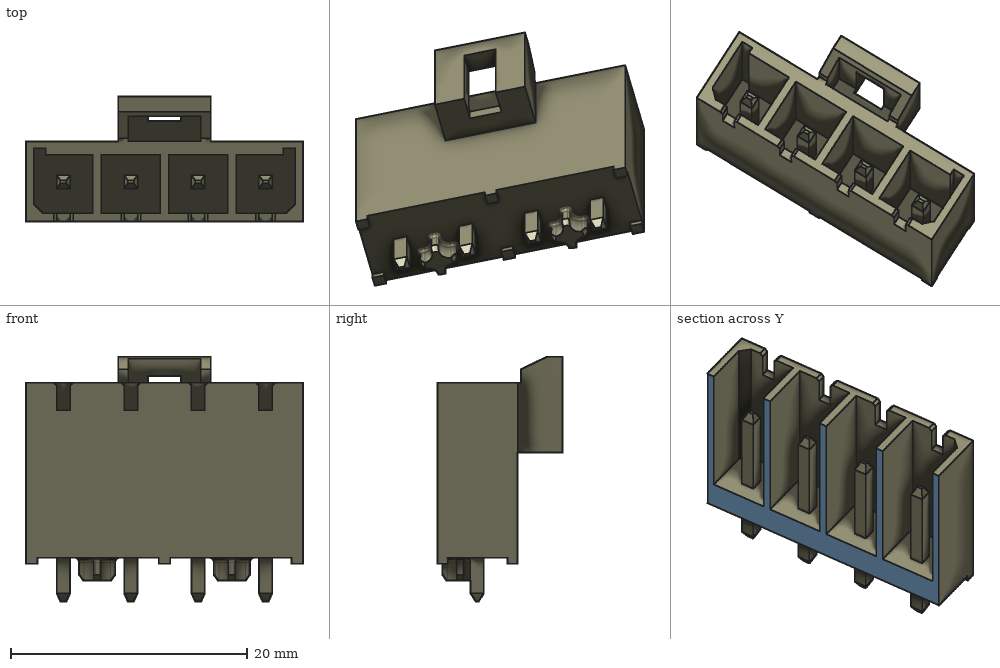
import cadquery as cq
import math

pin_count = 4
pitch = 5.7
housing_length = 23.45
housing_depth = 6.8
housing_top = 15.33
pin_row_y = 3.37
pin_positions = [(i - (pin_count - 1) / 2) * pitch for i in range(pin_count)]

foot_height = 0.5
foot_length = 1.0
foot_depth = 0.87

cavity_width = 5.0
cavity_front_y = 0.73
cavity_back_y = 5.65
cavity_floor_z = 3.0
corner_chamfer = 0.75
key_length = 1.0
key_back_y = 6.2

slot_width = 1.15
slot_depth = 2.34
slot_chamfer = 0.25

pin_size = 1.14
pin_tip_length = 0.7
pin_tip_width_x = 0.5
pin_tip_width_y = 0.24
pin_bottom_z = -3.2
pin_top_z = 11.0

latch_width = 7.85
latch_back_y = 10.6
latch_top = housing_top + 2.2
latch_height = 8.12
latch_ridge_depth = 1.3
latch_arm_gap = 0.27
latch_arm_top = housing_top + 1.13
latch_pocket_width = 6.15
latch_wall = 1.68
latch_floor = 1.0
window_width = 2.75
window_reach = 0.39
window_top = housing_top + 0.55

peg_spacing = 2 * pitch
peg_y = 1.95
peg_radius = 1.54
peg_bottom_z = -1.42
peg_rib_count = 4
rib_half_width = 0.3
rib_root_radius = 1.13
rib_corner_radius = 0.14
peg_chamfer_radial = 0.36
peg_chamfer_height = 0.5
peg_root_fillet = 0.35
peg_base_radius = 1.95
peg_base_height = 1.0


def block(x_range, y_range, z_range):
    """Axis-aligned box between the given limits."""
    size = [high - low for low, high in (x_range, y_range, z_range)]
    return cq.Workplane("XY").box(*size, centered=False).translate((x_range[0], y_range[0], z_range[0]))


def centered_range(center, width):
    return (center - width / 2, center + width / 2)


def make_housing():
    """Plain block standing on two rows of three feet."""
    end = housing_length / 2
    body = block((-end, end), (0, housing_depth), (foot_height, housing_top))
    outer_foot_x = (housing_length - foot_length) / 2
    for x in (-outer_foot_x, 0, outer_foot_x):
        for y_range in ((0, foot_depth), (housing_depth - foot_depth, housing_depth)):
            body = body.union(block(centered_range(x, foot_length), y_range, (0, foot_height)))
    return body


def make_cavity(x):
    return block(centered_range(x, cavity_width), (cavity_front_y, cavity_back_y), (cavity_floor_z, housing_top))


def make_left_end_cavity():
    """End cavity with a chamfered front corner and a keyway in the back corner."""
    x = pin_positions[0]
    cavity = make_cavity(x).edges("|Z and <X and <Y").chamfer(corner_chamfer)
    left = x - cavity_width / 2
    key = block((left, left + key_length), (cavity_back_y, key_back_y), (cavity_floor_z, housing_top))
    return cavity.union(key)


def make_front_slot(x):
    """Slot through the front wall, flared at the mouth."""
    half = slot_width / 2
    mouth = half + slot_chamfer
    flare_z = housing_top - slot_chamfer
    bottom = housing_top - slot_depth
    outline = [(-half, bottom), (half, bottom), (half, flare_z), (mouth, housing_top),
               (-mouth, housing_top), (-half, flare_z)]
    return cq.Workplane("XZ").polyline(outline).close().extrude(-cavity_front_y).translate((x, 0, 0))


def make_latch():
    """Sloped box on the back wall."""
    bottom = latch_top - latch_height
    arm_y = housing_depth + latch_arm_gap
    profile = [(housing_depth, bottom), (latch_back_y, bottom), (latch_back_y, latch_top),
               (latch_back_y - latch_ridge_depth, latch_top), (arm_y, latch_arm_top),
               (arm_y, housing_top), (housing_depth, housing_top)]
    return cq.Workplane("YZ").polyline(profile).close().extrude(latch_width / 2, both=True)


def make_latch_opening():
    """Pocket open at the top, and the window through its floor and back wall."""
    bottom = latch_top - latch_height
    pocket_back = latch_back_y - latch_wall
    pocket = block(centered_range(0, latch_pocket_width), (housing_depth, pocket_back),
                   (bottom + latch_floor, latch_top))
    window = block(centered_range(0, window_width), (pocket_back - window_reach, latch_back_y),
                   (bottom, window_top))
    return pocket.union(window)


def make_pin_tip(z, direction):
    """Tapered pin end starting at height z and pointing up (1) or down (-1)."""
    return (cq.Workplane("XY").rect(pin_size, pin_size)
            .workplane(offset=direction * pin_tip_length)
            .rect(pin_tip_width_x, pin_tip_width_y).loft(ruled=True).translate((0, 0, z)))


def make_pin():
    shank_bottom = pin_bottom_z + pin_tip_length
    shank_top = pin_top_z - pin_tip_length
    half = pin_size / 2
    shank = block((-half, half), (-half, half), (shank_bottom, shank_top))
    return shank.union(make_pin_tip(shank_bottom, -1)).union(make_pin_tip(shank_top, 1))


def make_peg():
    """Four-ribbed peg: rounded ribs joined by quarter-round flutes, tapered at the free end."""
    flute_radius = rib_root_radius - rib_half_width
    flute_mid = rib_root_radius - flute_radius * math.sqrt(0.5)
    flat_half = rib_half_width - rib_corner_radius
    straight_end = peg_radius - rib_corner_radius
    corner_mid = rib_corner_radius * math.sqrt(0.5)

    def turned(x, y, quarter):
        """Point (x, y) after the given number of quarter turns about the peg axis."""
        for _ in range(quarter):
            x, y = -y, x
        return (x, y)

    outline = cq.Workplane("XY", origin=(0, 0, peg_bottom_z)).moveTo(peg_radius, -flat_half)
    for quarter in range(peg_rib_count):
        outline = (
            outline.lineTo(*turned(peg_radius, flat_half, quarter))
            .threePointArc(turned(straight_end + corner_mid, flat_half + corner_mid, quarter),
                           turned(straight_end, rib_half_width, quarter))
            .lineTo(*turned(rib_root_radius, rib_half_width, quarter))
            .threePointArc(turned(flute_mid, flute_mid, quarter),
                           turned(rib_half_width, rib_root_radius, quarter))
            .lineTo(*turned(rib_half_width, straight_end, quarter))
            .threePointArc(turned(flat_half + corner_mid, straight_end + corner_mid, quarter),
                           turned(flat_half, peg_radius, quarter))
        )
    peg = outline.close().extrude(foot_height - peg_bottom_z)
    base = cq.Workplane("XY", origin=(0, 0, foot_height)).circle(peg_base_radius).extrude(peg_base_height)
    peg = peg.union(base)
    select_margin = peg_root_fillet / 4
    reach = (peg_radius + peg_base_radius) / 2
    root_edges = cq.selectors.BoxSelector((-reach, -reach, foot_height - select_margin),
                                          (reach, reach, foot_height + select_margin), boundingbox=True)
    peg = peg.edges(root_edges).fillet(peg_root_fillet)
    taper = (cq.Workplane("XY", origin=(0, 0, peg_bottom_z)).circle(peg_radius - peg_chamfer_radial)
             .workplane(offset=peg_chamfer_height).circle(peg_radius).loft())
    upper_z = peg_bottom_z + peg_chamfer_height
    upper = (cq.Workplane("XY", origin=(0, 0, upper_z)).circle(peg_base_radius)
             .extrude(foot_height + peg_base_height - upper_z))
    return peg.intersect(taper.union(upper))


result = make_housing().union(make_latch()).cut(make_latch_opening())
end_cavity = make_left_end_cavity()
result = result.cut(end_cavity).cut(end_cavity.mirror("YZ"))
for x in pin_positions[1:-1]:
    result = result.cut(make_cavity(x))
for x in pin_positions:
    result = result.cut(make_front_slot(x))
    result = result.union(make_pin().translate((x, pin_row_y, 0)))
for x in (-peg_spacing / 2, peg_spacing / 2):
    result = result.union(make_peg().translate((x, peg_y, 0)))